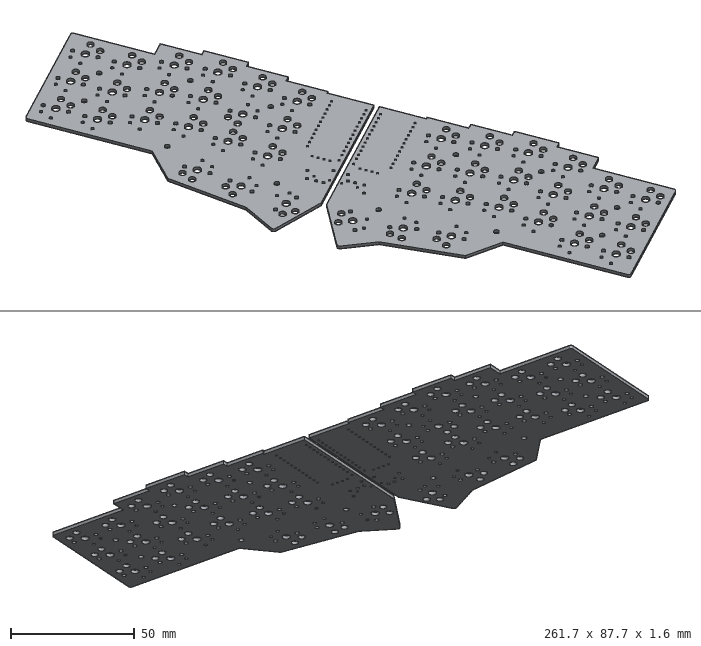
import cadquery as cq
import math

LEFT = -1
RIGHT = 1

length = 261.7
depth = 87.7
thickness = 1.6
gap = 2.4
corner_radius = 1.0
tip_radius = 1.3
outer_x = length / 2
inner_x = gap / 2
top_y = depth / 2
bottom_y = -depth / 2

inner_column_x = 31.1
column_span = 90.0
column_count = 6
column_pitch = column_span / (column_count - 1)
row_pitch = 17.0
row_numbers = (-1, 0, 1)
highest_middle_row_y = top_y - 26.7
column_drops = (4.7, 2.38, 0.0, 2.38, 9.0, 9.0)
column_half_width = outer_x - inner_column_x - column_span
column_half_length = top_y - highest_middle_row_y
flipped_key = (LEFT, 1, 0)

thumb_keys = ((55.0, -22.2, 180), (35.0, -24.9, 195), (14.5, -28.0, 120))

controller_top_y = 38.2
block_corner_x = 76.0
thumb_corner = (64.5, -31.1)
thumb_bend = (28.8, -35.9)
tip_rounding = 0.47
tip_x = 14.0
tip_y = bottom_y - tip_rounding
inner_edge_end_y = -22.8

stem_diameter = 3.5
socket_radius = 1.5
side_peg_diameter = 1.7
pin_diameter = 1.28
side_peg_x = 5.5
centre_pin_y = row_pitch / 2 - 2.5
offset_pin = (5.0, row_pitch / 2 - 4.7)

mount_diameter = 2.2
mount_points = ((112.0, 16.7), (112.0, -0.5), (76.0, 25.6), (71.2, -13.5), (40.0, 22.8), (22.0, -18.3))

header_diameter = 0.8
header_pitch = 2.55
controller_rows_x = (3.1, 18.0)
controller_pin_count = 12
controller_first_y = 34.3
display_first_x = 6.5
display_y = 1.5
display_pin_count = 4
spare_pin = (3.1, 3.1)

jack_y = -9.2
jack_pin_diameter = 1.2
jack_pin_offset_y = 2.22
jack_pins_x = (4.5, 7.5, 11.5)
jack_end_pin_x = 13.0
jack_pegs_x = (2.5, 9.5)
reset_diameter = 1.2
reset_pin = (3.1, -3.5)


def turned(point, degrees):
    """Rotate a point about the origin."""
    angle = math.radians(degrees)
    x, y = point
    return (
        x * math.cos(angle) - y * math.sin(angle),
        x * math.sin(angle) + y * math.cos(angle),
    )


def on_side(points, side):
    """Place points given as distances from the gap on one half."""
    return [(side * x, y) for x, y in points]


def column_x(column):
    return inner_column_x + column * column_pitch


def middle_row_y(column):
    return highest_middle_row_y - column_drops[column]


def column_top_y(column):
    return middle_row_y(column) + column_half_length


def step_x(column):
    """X of the step between a column and the next one out; the taller column takes the overlap."""
    if column_top_y(column) > column_top_y(column + 1):
        return column_x(column) + column_half_width
    return column_x(column + 1) - column_half_width


def board_outline():
    """Corner points of the right half, from the gap out along the top and back below."""
    points = [(inner_x, controller_top_y)]
    edge_x = column_x(0) - column_half_width
    edge_y = controller_top_y
    for column in range(column_count):
        if column_top_y(column) != edge_y:
            if column > 0:
                edge_x = step_x(column - 1)
            points.append((edge_x, edge_y))
            edge_y = column_top_y(column)
            points.append((edge_x, edge_y))
    block_bottom_y = middle_row_y(column_count - 1) - column_half_length
    points += [
        (outer_x, edge_y),
        (outer_x, block_bottom_y),
        (block_corner_x, block_bottom_y),
        thumb_corner,
        thumb_bend,
        (tip_x, tip_y),
        (inner_x, inner_edge_end_y),
    ]
    return points


def drill(board, points, diameter):
    """Cut round holes through the board."""
    cutters = (
        cq.Workplane("XY")
        .pushPoints(points)
        .circle(diameter / 2)
        .extrude(thickness, both=True)
    )
    return board.cut(cutters)


def key_places(side):
    """X, Y and turn of every switch on one half."""
    places = []
    for column in range(column_count):
        for row in row_numbers:
            turn = 180 if (side, column, row) == flipped_key else 0
            y = middle_row_y(column) + row * row_pitch
            places.append((side * column_x(column), y, turn))
    for x, y, turn in thumb_keys:
        places.append((side * x, y, side * turn))
    return places


def drill_switches(board, side):
    """Stem, two sockets, two side pegs and two pins for every switch."""
    pin_x, pin_y = offset_pin
    footprint = (
        (stem_diameter, [(0, 0)]),
        (2 * socket_radius, [(0, centre_pin_y), (pin_x, pin_y)]),
        (side_peg_diameter, [(side_peg_x, 0), (-side_peg_x, 0)]),
        (pin_diameter, [(0, -centre_pin_y), (-pin_x, -pin_y)]),
    )
    for diameter, offsets in footprint:
        points = []
        for x, y, turn in key_places(side):
            for offset in offsets:
                offset_x, offset_y = turned(offset, turn)
                points.append((x + offset_x, y + offset_y))
        board = drill(board, points, diameter)
    return board


def drill_headers(board, side):
    """Two columns of controller pins, a row of display pins and one spare pin."""
    points = [spare_pin]
    for x in controller_rows_x:
        for pin in range(controller_pin_count):
            points.append((x, controller_first_y - pin * header_pitch))
    for pin in range(display_pin_count):
        points.append((display_first_x + pin * header_pitch, display_y))
    return drill(board, on_side(points, side), header_diameter)


def drill_jack(board, side):
    """Cable jack pins and pegs; the jack is mounted upside down on the left half."""
    pins = [(x, jack_y + side * jack_pin_offset_y) for x in jack_pins_x]
    pins.append((jack_end_pin_x, jack_y - side * jack_pin_offset_y))
    pegs = [(x, jack_y) for x in jack_pegs_x]
    board = drill(board, on_side(pins, side), jack_pin_diameter)
    return drill(board, on_side(pegs, side), header_diameter)


def blank_board(side):
    """Undrilled plate of one half, with its outer corners and its tip rounded."""
    plate = (
        cq.Workplane("XY")
        .workplane(offset=-thickness / 2)
        .polyline(on_side(board_outline(), side))
        .close()
        .extrude(thickness)
    )
    plate = plate.edges("|Z").edges(">X" if side == RIGHT else "<X").fillet(corner_radius)
    return plate.edges("|Z").edges("<Y").fillet(tip_radius)


def make_board(side):
    board = blank_board(side)
    board = drill_switches(board, side)
    board = drill_headers(board, side)
    board = drill_jack(board, side)
    board = drill(board, on_side([reset_pin], side), reset_diameter)
    return drill(board, on_side(mount_points, side), mount_diameter)


boards = [make_board(side) for side in (LEFT, RIGHT)]

result = cq.Compound.makeCompound([board.val() for board in boards])